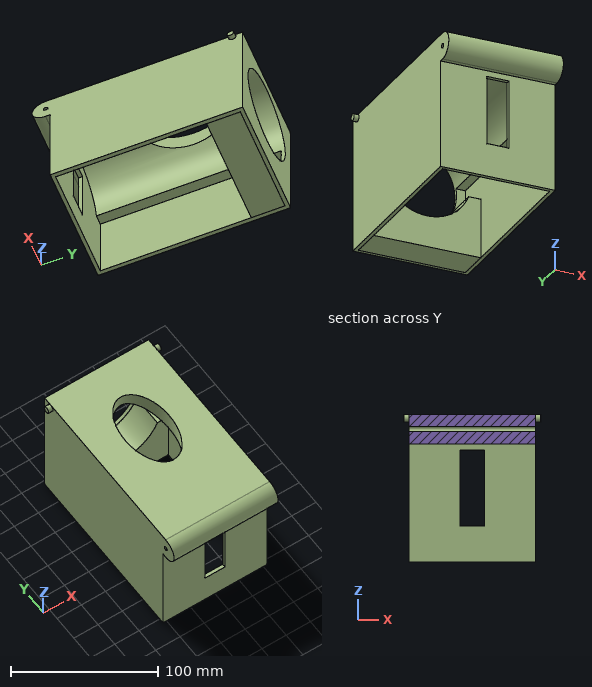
import cadquery as cq
import math

width = 86.0
height = 100.2
total_length = 154.7
body_length = 141.4
wall = 3.0

drum_radius = 10.0
drum_y = drum_radius - total_length
drum_z = height - drum_radius
hinge_hole_diameter = 3.1

bore_radius = 33.4
roof_thickness = 9.9
bore_z = height - roof_thickness - bore_radius
chamber_width = width - 2 * wall
chamber_length = body_length - 2 * wall
chamber_height = 62.2

oval_half_width = 18.3
oval_half_length = 31.7
oval_y = -60.6
slot_width = 16.4
slot_height = 51.0
slot_bottom = 24.8

pivot_span = 93.3
pivot_length = (pivot_span - width) / 2
pivot_radius = 2.6
pivot_y = -7.6

saddle_length = 24.8
saddle_height = 44.5


def bore_cutter(length):
    """Round bore running forward from the back face."""
    return cq.Workplane("XZ").center(0, bore_z).circle(bore_radius).extrude(length)


def make_shell():
    """Side outline with the rounded hinge nose, extruded across the width."""
    arc_offset = drum_radius * math.sqrt(0.5)
    return (
        cq.Workplane("YZ")
        .moveTo(0, 0)
        .lineTo(0, height)
        .lineTo(drum_y, height)
        .threePointArc((drum_y - arc_offset, drum_z + arc_offset), (-total_length, drum_z))
        .threePointArc((drum_y - arc_offset, drum_z - arc_offset), (drum_y, drum_z - drum_radius))
        .lineTo(-body_length, drum_z - drum_radius)
        .lineTo(-body_length, 0)
        .close()
        .extrude(width / 2, both=True)
    )


def make_chamber():
    """Rectangular chamber, open at the bottom."""
    return (
        cq.Workplane("XY")
        .center(0, -body_length / 2)
        .rect(chamber_width, chamber_length)
        .extrude(chamber_height)
    )


def make_oval_opening():
    """Elliptical opening from the bore up through the roof."""
    return (
        cq.Workplane("XY", origin=(0, oval_y, bore_z))
        .ellipse(oval_half_width, oval_half_length)
        .extrude(height - bore_z)
    )


def make_front_slot():
    """Upright slot through the front wall."""
    return (
        cq.Workplane("XZ", origin=(0, wall - body_length, slot_bottom + slot_height / 2))
        .rect(slot_width, slot_height)
        .extrude(wall)
    )


def make_hinge_hole():
    """Hole along the full length of the hinge drum."""
    return (
        cq.Workplane("YZ")
        .center(drum_y, drum_z)
        .circle(hinge_hole_diameter / 2)
        .extrude(width / 2, both=True)
    )


def make_pivot(side):
    """Pivot stub on the side given by the sign."""
    return (
        cq.Workplane("YZ", origin=(side * width / 2, pivot_y, height - pivot_radius))
        .circle(pivot_radius)
        .extrude(side * pivot_length)
    )


def make_housing():
    housing = make_shell()
    housing = housing.cut(bore_cutter(body_length - wall))
    housing = housing.cut(make_chamber())
    housing = housing.cut(make_oval_opening())
    housing = housing.cut(make_front_slot())
    housing = housing.cut(make_hinge_hole())
    for side in (-1, 1):
        housing = housing.union(make_pivot(side))
    return housing


def make_saddle():
    """Block across the chamber, hollowed on top by the bore."""
    block = (
        cq.Workplane("XY")
        .center(0, -wall - saddle_length / 2)
        .rect(chamber_width, saddle_length)
        .extrude(saddle_height)
    )
    return block.cut(bore_cutter(body_length - wall))


housing = make_housing()
saddle = make_saddle()
result = cq.Compound.makeCompound([housing.val(), saddle.val()])